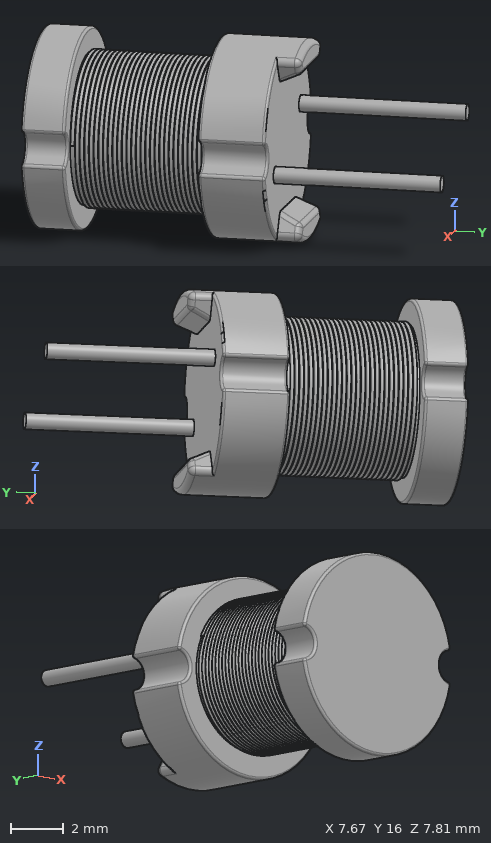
import cadquery as cq
import math


flange_radius = 3.905
front_flange_length = 1.7
rear_flange_length = 2.6
flange_rounding = 0.1

notch_radius = 0.62
notch_center_x = 3.88
notch_corner_rounding = 0.12

winding_length = 5.2
winding_radius = 3.03
turn_pitch = 0.183
wire_radius = 0.08
wire_lift = 0.02
coil_end_gap = 0.01
coil_radius = winding_radius - wire_radius
core_radius = coil_radius - wire_lift

foot_height = 0.9
foot_half_angle = 28
foot_root_inner_z = 2.47
foot_tip_inner_z = 2.94
foot_rounding = 0.25

pin_radius = 0.325
pin_length = 6.5
pin_x = 2.08
pin_z = 0.92

winding_start_y = front_flange_length
rear_flange_y = winding_start_y + winding_length
rear_face_y = rear_flange_y + rear_flange_length
foot_tip_y = rear_face_y + foot_height


def section(y):
    """Workplane across the axis at y, with local x = X and local y = Z; negative extrusion goes toward +Y."""
    return cq.Workplane(cq.Plane(origin=(0, y, 0), xDir=(1, 0, 0), normal=(0, -1, 0)))


def notched_disc(y, length):
    """Round disc with a round-bottomed notch on each X side and softened notch corners."""
    corner_x = (flange_radius**2 - notch_radius**2 + notch_center_x**2) / (2 * notch_center_x)
    corner_z = math.sqrt(flange_radius**2 - corner_x**2)
    notch_bottom_x = notch_center_x - notch_radius
    disc = (
        section(y)
        .moveTo(corner_x, corner_z)
        .threePointArc((0, flange_radius), (-corner_x, corner_z))
        .threePointArc((-notch_bottom_x, 0), (-corner_x, -corner_z))
        .threePointArc((0, -flange_radius), (corner_x, -corner_z))
        .threePointArc((notch_bottom_x, 0), (corner_x, corner_z))
        .close()
        .extrude(-length)
    )
    return disc.edges("|Y").fillet(notch_corner_rounding)


def make_flange(y, length):
    """Notched disc with both rims rounded."""
    return notched_disc(y, length).faces("<Y or >Y").edges().fillet(flange_rounding)


def make_foot():
    """Foot on the +Z side: a flange sector with radial sides and an inner face sloping outward."""
    root_y = rear_face_y - flange_rounding
    length = foot_tip_y - root_y
    side_slope = math.tan(math.radians(foot_half_angle))
    wedge = (
        section(root_y)
        .polyline([
            (-foot_root_inner_z * side_slope, foot_root_inner_z),
            (foot_root_inner_z * side_slope, foot_root_inner_z),
            (flange_radius * side_slope, flange_radius),
            (-flange_radius * side_slope, flange_radius),
        ])
        .close()
        .extrude(-length)
    )
    foot = wedge.intersect(section(root_y).circle(flange_radius).extrude(-length))
    slope = (
        cq.Workplane("YZ")
        .polyline([
            (root_y, foot_root_inner_z),
            (foot_tip_y, foot_tip_inner_z),
            (foot_tip_y, 0),
            (root_y, 0),
        ])
        .close()
        .extrude(flange_radius, both=True)
    )
    return foot.cut(slope).edges("not <Y").fillet(foot_rounding)


def make_core():
    """Plain cylinder between the flanges."""
    return section(winding_start_y).circle(core_radius).extrude(-winding_length)


def make_coil():
    """One layer of round wire wound left-handed, its end turns just clear of the flanges."""
    path = cq.Wire.makeHelix(
        turn_pitch,
        winding_length - 2 * (wire_radius + coil_end_gap),
        coil_radius,
        center=cq.Vector(0, 0, 0),
        dir=cq.Vector(0, 0, 1),
        lefthand=True,
    )
    wire_plane = cq.Plane(origin=path.startPoint(), xDir=(0, 0, 1), normal=path.tangentAt(0))
    coil = cq.Workplane(wire_plane).circle(wire_radius).sweep(cq.Workplane(path), isFrenet=True)
    turned = coil.rotate((0, 0, 0), (1, 0, 0), -90)
    return turned.translate((0, winding_start_y + wire_radius + coil_end_gap, 0))


def make_pins():
    """Two pins at diagonally opposite positions."""
    return (
        section(rear_face_y)
        .pushPoints([(-pin_x, pin_z), (pin_x, -pin_z)])
        .circle(pin_radius)
        .extrude(-pin_length)
    )


foot = make_foot()
rear_flange = make_flange(rear_flange_y, rear_flange_length)
rear_flange = rear_flange.union(foot).union(foot.mirror("XY"))
front_flange = make_flange(0, front_flange_length)

bobbin = make_core().union(front_flange).union(rear_flange).union(make_pins())
result = bobbin.union(make_coil(), clean=False)